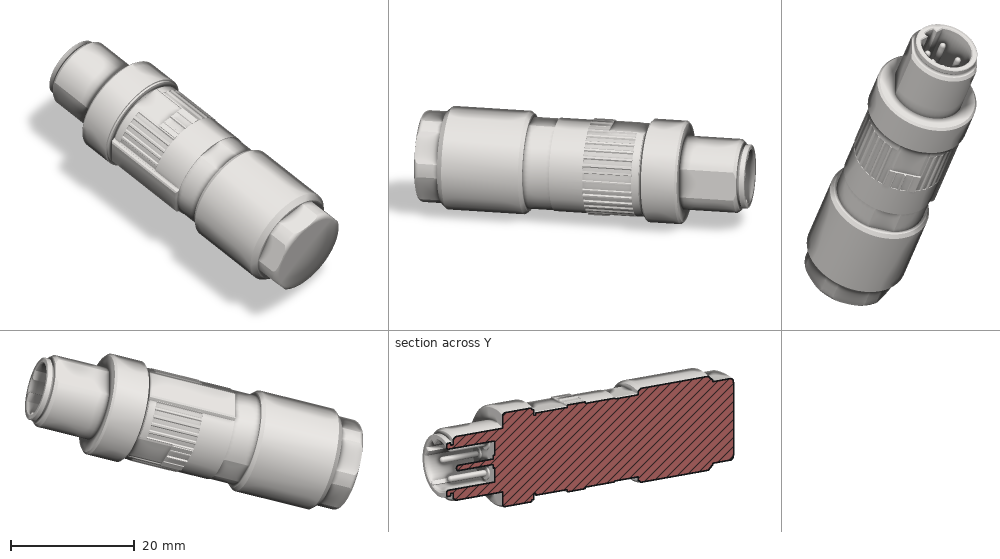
import cadquery as cq
import math


OVERALL_LENGTH = 54.05
TIP_END = 0.8
GROOVE_END = 1.2
FLANGE_START = 10.5
FLANGE_END = 16.1
COLLAR_END = 16.4
NECK_END = 16.75
SLEEVE_START = 16.9
RIB_START = 18.1
WINDOW_END = 22.65
RIB_END = 26.15
SLEEVE_END = 31.65
NUT_START = 36.0
NUT_END = 50.1

TIP_DIA = 10.4
GROOVE_DIA = 9.7
FRONT_DIA = 12.0
FLANGE_DIA = 16.8
COLLAR_DIA = 16.2
NECK_DIA = 14.3
CORE_DIA = 14.9
SLEEVE_DIA = 15.15
RIB_DIA = 15.36
NUT_DIA = 16.8
HEX_DIA = 14.9

TIP_CHAMFER = (0.1, 0.1)
FRONT_CHAMFER = (0.5, 0.4)
FLANGE_FRONT_CHAMFER = (0.35, 0.35)
NUT_FRONT_CHAMFER = (0.6, 0.45)
NUT_BACK_CHAMFER = (0.85, 0.75)
HEX_FILLET = 0.8

FRONT_ACROSS_FLATS = 11.0
CORE_ACROSS_FLATS = 14.25
HEX_ACROSS_FLATS = 13.9
WINDOW_WIDTH = 5.2

RIB_FOOT_RADIUS = 7.1
PAD_ACROSS_FLATS = 14.8
SIDE_RIB_TOP_WIDTH = 0.2
SIDE_RIB_FOOT_WIDTH = 0.6
SIDE_DIRECTIONS = (0, 90, 270)
SIDE_RIB_PITCH = 11.6
SIDE_RIB_STEPS = (-1, 0, 1)
CORNER_RIB_TOP_WIDTH = 0.3
CORNER_RIB_FOOT_WIDTH = 1.1
CORNER_DIRECTIONS = (45, 135, 225, 315)
CORNER_RIB_PITCH = 10
CORNER_RIB_STEPS = (-2.5, -1.5, -0.5, 0.5, 1.5, 2.5)

PANEL_FACE_Y = 7.75
PANEL_FOOT_Y = 6.9
PANEL_FOOT_WIDTH = 5.7
PANEL_FACE_WIDTH = 5.0
PANEL_CHAMFER = 0.2

SOCKET_DEPTH = 9.0
SOCKET_DIA = 8.55
MOUTH_CHAMFER = 0.18
KEY_LAND_DISTANCE = 3.4
KEY_SLOT_WIDTH = 2.15
KEY_ANGLE = 45
GUIDE_ANGLE = -45
GUIDE_TIP_DISTANCE = 3.85
GUIDE_SPAN = (-1.34, -0.6)

PIN_COUNT = 4
LOWEST_PIN_ANGLE = -90
PIN_DIA = 1.0
PIN_CIRCLE_DIA = 5.1
PIN_DOME_RADIUS = 0.48
PIN_TIP_X = 1.8
BOSS_DIA = 2.25
BOSS_HEIGHT = 0.3


def cylinder(diameter, start, end):
    return cq.Workplane("YZ", origin=(start, 0, 0)).circle(diameter / 2).extrude(end - start)


def chamfered_cylinder(diameter, start, end, chamfer):
    """Cylinder along X whose front edge is cut by a chamfer of (axial length, radial depth)."""
    radius = diameter / 2
    length, depth = chamfer
    return (
        cq.Workplane("XY")
        .moveTo(start, 0)
        .lineTo(start, radius - depth)
        .lineTo(start + length, radius)
        .lineTo(end, radius)
        .lineTo(end, 0)
        .close()
        .revolve(360, (0, 0, 0), (1, 0, 0))
    )


def block(x_range, y_range, z_range):
    """Box between the given limits on each axis."""
    size = [limits[1] - limits[0] for limits in (x_range, y_range, z_range)]
    corner = (x_range[0], y_range[0], z_range[0])
    return cq.Workplane("XY").box(*size, centered=False).translate(corner)


def turn(shape, angle):
    return shape.rotate((0, 0, 0), (1, 0, 0), angle)


def front_body():
    tip = chamfered_cylinder(TIP_DIA, 0, TIP_END, TIP_CHAMFER)
    groove = cylinder(GROOVE_DIA, TIP_END, GROOVE_END)
    barrel = chamfered_cylinder(FRONT_DIA, GROOVE_END, FLANGE_START, FRONT_CHAMFER)
    half_flats = FRONT_ACROSS_FLATS / 2
    barrel = barrel.intersect(
        block((GROOVE_END, FLANGE_START), (-half_flats, half_flats), (-FRONT_DIA, FRONT_DIA))
    )
    flange = chamfered_cylinder(FLANGE_DIA, FLANGE_START, FLANGE_END, FLANGE_FRONT_CHAMFER)
    collar = cylinder(COLLAR_DIA, FLANGE_END, COLLAR_END)
    neck = cylinder(NECK_DIA, COLLAR_END, NECK_END)
    return tip.union(groove).union(barrel).union(flange).union(collar).union(neck)


def grip_core():
    """Cylinder with a flat on top and one below."""
    half_flats = CORE_ACROSS_FLATS / 2
    return cylinder(CORE_DIA, NECK_END, NUT_START).intersect(
        block((NECK_END, NUT_START), (-CORE_DIA, CORE_DIA), (-half_flats, half_flats))
    )


def rib_fan(top_width, foot_width, directions, pitch, steps):
    """Tapered ribs in groups around each direction, an angle about X from +Y toward +Z."""
    rib = (
        cq.Workplane("YZ", origin=(RIB_START, 0, 0))
        .moveTo(RIB_FOOT_RADIUS, -foot_width / 2)
        .lineTo(RIB_DIA / 2, -top_width / 2)
        .lineTo(RIB_DIA / 2, top_width / 2)
        .lineTo(RIB_FOOT_RADIUS, foot_width / 2)
        .close()
        .extrude(RIB_END - RIB_START)
    )
    ribs = cq.Workplane("XY")
    for direction in directions:
        for step in steps:
            ribs.add(turn(rib, direction + step * pitch))
    return ribs.combine()


def grip_ribs():
    """Narrow ribs on three sides, where the label panel leaves room, and wide ribs on the four corners."""
    side_ribs = rib_fan(
        SIDE_RIB_TOP_WIDTH, SIDE_RIB_FOOT_WIDTH, SIDE_DIRECTIONS, SIDE_RIB_PITCH, SIDE_RIB_STEPS
    )
    corner_ribs = rib_fan(
        CORNER_RIB_TOP_WIDTH,
        CORNER_RIB_FOOT_WIDTH,
        CORNER_DIRECTIONS,
        CORNER_RIB_PITCH,
        CORNER_RIB_STEPS,
    )
    return side_ribs.union(corner_ribs)


def grip_sleeve():
    """Two smooth rings with ribs between them.

    A window above and below lays the core flats bare, with a ribbed pad behind it. Beside the
    window nothing stands above the flats.
    """
    front_ring = cylinder(SLEEVE_DIA, SLEEVE_START, RIB_START)
    rear_ring = cylinder(SLEEVE_DIA, RIB_END, SLEEVE_END)
    half_window = WINDOW_WIDTH / 2
    half_pad = PAD_ACROSS_FLATS / 2
    half_core = CORE_ACROSS_FLATS / 2
    all_across = (-RIB_DIA, RIB_DIA)
    window = block((NECK_END, WINDOW_END), (-half_window, half_window), all_across)
    pads = block((WINDOW_END, RIB_END), (-half_window, half_window), (-half_pad, half_pad))
    beside_window = block((NECK_END, WINDOW_END), all_across, (-half_core, half_core))
    behind_window = block((WINDOW_END, SLEEVE_END), all_across, all_across)
    allowed = beside_window.union(behind_window).cut(window)
    return front_ring.union(rear_ring).union(grip_ribs()).intersect(allowed).union(pads)


def label_panel():
    """Raised plate with leaning sides and a chamfered face."""
    plate = (
        cq.Workplane("YZ", origin=(NECK_END, 0, 0))
        .moveTo(0, -PANEL_FOOT_WIDTH / 2)
        .lineTo(-PANEL_FOOT_Y, -PANEL_FOOT_WIDTH / 2)
        .lineTo(-PANEL_FACE_Y, -PANEL_FACE_WIDTH / 2)
        .lineTo(-PANEL_FACE_Y, PANEL_FACE_WIDTH / 2)
        .lineTo(-PANEL_FOOT_Y, PANEL_FOOT_WIDTH / 2)
        .lineTo(0, PANEL_FOOT_WIDTH / 2)
        .close()
        .extrude(SLEEVE_END - NECK_END)
    )
    return plate.faces("<Y").edges().chamfer(PANEL_CHAMFER)


def cable_nut():
    """Round union nut followed by a hexagon with rounded corners."""
    radius = NUT_DIA / 2
    front_length, front_depth = NUT_FRONT_CHAMFER
    back_length, back_depth = NUT_BACK_CHAMFER
    nut = (
        cq.Workplane("XY")
        .moveTo(NUT_START, 0)
        .lineTo(NUT_START, radius - front_depth)
        .lineTo(NUT_START + front_length, radius)
        .lineTo(NUT_END - back_length, radius)
        .lineTo(NUT_END, radius - back_depth)
        .lineTo(NUT_END, 0)
        .close()
        .revolve(360, (0, 0, 0), (1, 0, 0))
    )
    hexagon_circle = HEX_ACROSS_FLATS / math.cos(math.pi / 6)
    hexagon = (
        cq.Workplane("YZ", origin=(NUT_END, 0, 0))
        .polygon(6, hexagon_circle)
        .extrude(OVERALL_LENGTH - NUT_END)
    )
    rounded_bar = cylinder(HEX_DIA, NUT_END, OVERALL_LENGTH).faces(">X").edges().fillet(HEX_FILLET)
    return nut.union(hexagon.intersect(rounded_bar))


def socket():
    """Empty space of the socket: a bore less the slotted key land and the guide rib."""
    radius = SOCKET_DIA / 2
    depth_range = (0, SOCKET_DEPTH)
    land = block(depth_range, (KEY_LAND_DISTANCE, SOCKET_DIA), (-radius, radius))
    slot = block(depth_range, (0, SOCKET_DIA), (-KEY_SLOT_WIDTH / 2, KEY_SLOT_WIDTH / 2))
    guide = block(depth_range, (GUIDE_TIP_DISTANCE, SOCKET_DIA), GUIDE_SPAN)
    space = cylinder(SOCKET_DIA, *depth_range)
    return space.cut(turn(land.cut(slot), KEY_ANGLE)).cut(turn(guide, GUIDE_ANGLE))


def pins():
    """Contact pins with domed tips, each on a low round boss of the socket floor."""
    pin = cylinder(PIN_DIA, PIN_TIP_X, SOCKET_DEPTH).faces("<X").edges().fillet(PIN_DOME_RADIUS)
    boss = cylinder(BOSS_DIA, SOCKET_DEPTH - BOSS_HEIGHT, SOCKET_DEPTH)
    contact = pin.union(boss).translate((0, PIN_CIRCLE_DIA / 2, 0))
    contacts = cq.Workplane("XY")
    for index in range(PIN_COUNT):
        contacts.add(turn(contact, index * 360 / PIN_COUNT))
    return contacts.combine()


def floor_web():
    """Low web on the socket floor from the lowest pin boss to the guide rib."""
    boss_distance = PIN_CIRCLE_DIA / 2 * math.cos(math.radians(GUIDE_ANGLE - LOWEST_PIN_ANGLE))
    web = block(
        (SOCKET_DEPTH - BOSS_HEIGHT, SOCKET_DEPTH), (boss_distance, SOCKET_DIA / 2), GUIDE_SPAN
    )
    return turn(web, GUIDE_ANGLE)


body = front_body().union(grip_core()).union(grip_sleeve()).union(label_panel()).union(cable_nut())
body = body.cut(socket())
mouth_edges = body.faces("<X").val().innerWires()[0].Edges()
body = body.newObject(mouth_edges).chamfer(MOUTH_CHAMFER)
result = body.union(pins()).union(floor_web())